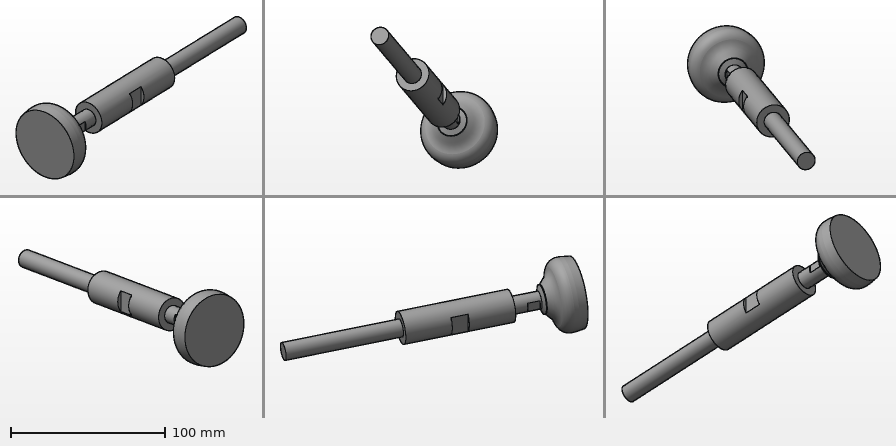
import cadquery as cq

TOTAL_LENGTH = 200.0

SOLE_RADIUS = 24.2
PAD_RADIUS = 25.0
RIM_HEIGHT = 6.0
SHOULDER_START_HEIGHT = 9.2
SHOULDER_MID_RADIUS = 23.5
SHOULDER_MID_HEIGHT = 13.0
SHOULDER_END_RADIUS = 20.0
SHOULDER_END_HEIGHT = 15.8
WAIST_MID_RADIUS = 16.5
WAIST_MID_HEIGHT = 17.2
WAIST_RADIUS = 13.5
WAIST_HEIGHT = 19.5
PAD_TOP_RADIUS = 9.5
PAD_HEIGHT = 23.2

SPINDLE_DIAMETER = 12.0
FLANGE_RADIUS = 10.0
FLANGE_THICKNESS = 0.5
FLARE_HEIGHT = 1.5
SPINDLE_ACROSS_FLATS = 10.0
SPINDLE_FLAT_START = 26.5
SPINDLE_FLAT_LENGTH = 8.5

SLEEVE_DIAMETER = 22.0
SLEEVE_START = 45.0
SLEEVE_LENGTH = 75.0
SLEEVE_ACROSS_FLATS = 17.0
SLEEVE_FLAT_LENGTH = 11.5


def cylinder(diameter, start, length):
    """Cylinder on the Y axis running from Y = start towards +Y."""
    base = cq.Workplane("XZ", origin=(0, start, 0))
    return base.circle(diameter / 2).extrude(-length)


def cut_wrench_flats(body, diameter, across_flats, start, length):
    """Cut two flats, facing -X and +X, into a round body."""
    depth = (diameter - across_flats) / 2
    for side in (-1, 1):
        middle = (side * (across_flats + depth) / 2, start + length / 2, 0)
        body = body.cut(cq.Workplane(origin=middle).box(depth, length, diameter))
    return body


def make_pad():
    """Rounded foot revolved about Y, narrowing to the seat of the spindle."""
    profile = (
        cq.Workplane("XY")
        .lineTo(SOLE_RADIUS, 0)
        .lineTo(PAD_RADIUS, RIM_HEIGHT)
        .lineTo(PAD_RADIUS, SHOULDER_START_HEIGHT)
        .threePointArc((SHOULDER_MID_RADIUS, SHOULDER_MID_HEIGHT), (SHOULDER_END_RADIUS, SHOULDER_END_HEIGHT))
        .threePointArc((WAIST_MID_RADIUS, WAIST_MID_HEIGHT), (WAIST_RADIUS, WAIST_HEIGHT))
        .lineTo(PAD_TOP_RADIUS, PAD_HEIGHT)
        .lineTo(0, PAD_HEIGHT)
        .close()
    )
    return profile.revolve(360, (0, 0, 0), (0, 1, 0))


def make_spindle():
    """Rod flaring to a thin flange on the pad, with wrench flats near its foot."""
    radius = SPINDLE_DIAMETER / 2
    flange_top = PAD_HEIGHT + FLANGE_THICKNESS
    profile = (
        cq.Workplane("XY")
        .moveTo(0, PAD_HEIGHT)
        .lineTo(FLANGE_RADIUS, PAD_HEIGHT)
        .lineTo(FLANGE_RADIUS, flange_top)
        .lineTo(radius, flange_top + FLARE_HEIGHT)
        .lineTo(radius, TOTAL_LENGTH)
        .lineTo(0, TOTAL_LENGTH)
        .close()
    )
    rod = profile.revolve(360, (0, 0, 0), (0, 1, 0))
    return cut_wrench_flats(
        rod, SPINDLE_DIAMETER, SPINDLE_ACROSS_FLATS, SPINDLE_FLAT_START, SPINDLE_FLAT_LENGTH
    )


def make_sleeve():
    """Round sleeve bored for the spindle, with wrench flats at mid-length."""
    bore = cylinder(SPINDLE_DIAMETER, SLEEVE_START, SLEEVE_LENGTH)
    tube = cylinder(SLEEVE_DIAMETER, SLEEVE_START, SLEEVE_LENGTH).cut(bore)
    flat_start = SLEEVE_START + (SLEEVE_LENGTH - SLEEVE_FLAT_LENGTH) / 2
    return cut_wrench_flats(
        tube, SLEEVE_DIAMETER, SLEEVE_ACROSS_FLATS, flat_start, SLEEVE_FLAT_LENGTH
    )


pad = make_pad()
spindle = make_spindle()
sleeve = make_sleeve()

result = cq.Compound.makeCompound([pad.val(), spindle.val(), sleeve.val()])